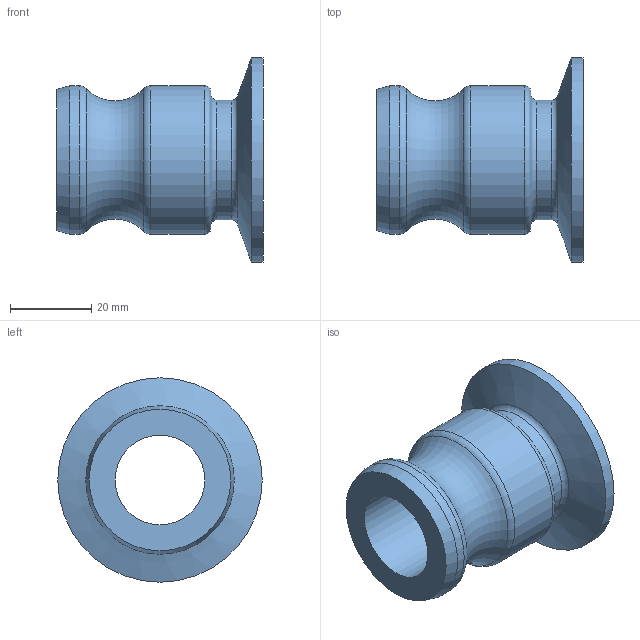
import cadquery as cq
import math

total_length = 50.8
bore_diameter = 22.1
body_radius = 36.6 / 2
neck_radius = 29.46 / 2
flange_radius = 50.39 / 2

lead_in_length = 3.175
lead_in_radius = 17.45

groove_center_x = 14.29
groove_bottom_radius = 14.55
groove_arc_radius = 9.9
groove_edge_round = 2.38

shoulder_x = 37.95
edge_round = 1.5875
neck_fillet = 1.5
flange_fillet = 1.5875
flange_rim_thickness = 2.87
flange_cone_angle = math.radians(20)
rim_start_x = total_length - flange_rim_thickness
flange_back_x = rim_start_x - (flange_radius - neck_radius) * math.tan(flange_cone_angle)


def polar(center, radius, angle):
    """Point on a circle in the XY half-plane, where Y is the distance from the axis."""
    return (center[0] + radius * math.cos(angle), center[1] + radius * math.sin(angle))


def arc_to(profile, center, radius, start, end):
    """Extend the profile along a circular arc, from its start angle to its end angle."""
    middle = polar(center, radius, (start + end) / 2)
    return profile.threePointArc(middle, polar(center, radius, end))


def add_cam_groove(profile):
    """Add the groove and the tangent rounds that join it to the body surface."""
    groove_center = (groove_center_x, groove_bottom_radius + groove_arc_radius)
    round_center_y = body_radius - groove_edge_round
    rise = groove_center[1] - round_center_y
    half_span = math.sqrt((groove_arc_radius + groove_edge_round) ** 2 - rise ** 2)
    left_center = (groove_center_x - half_span, round_center_y)
    right_center = (groove_center_x + half_span, round_center_y)
    tilt = math.atan2(rise, half_span)

    profile = profile.lineTo(left_center[0], body_radius)
    profile = arc_to(profile, left_center, groove_edge_round, math.pi / 2, tilt)
    profile = arc_to(profile, groove_center, groove_arc_radius, math.pi + tilt, 2 * math.pi - tilt)
    return arc_to(profile, right_center, groove_edge_round, math.pi - tilt, math.pi / 2)


def add_shoulder(profile):
    """Add the rounded shoulder and the fillet leading down to the neck."""
    round_center = (shoulder_x - edge_round, body_radius - edge_round)
    fillet_center = (shoulder_x + neck_fillet, neck_radius + neck_fillet)
    profile = profile.lineTo(round_center[0], body_radius)
    profile = arc_to(profile, round_center, edge_round, math.pi / 2, 0)
    profile = profile.lineTo(shoulder_x, fillet_center[1])
    return arc_to(profile, fillet_center, neck_fillet, math.pi, 1.5 * math.pi)


def add_flange(profile):
    """Add the neck, the conical flange back with its root fillet, and the rim."""
    sweep = math.pi / 2 - flange_cone_angle
    tangent_length = flange_fillet * math.tan(sweep / 2)
    fillet_center = (flange_back_x - tangent_length, neck_radius + flange_fillet)
    profile = profile.lineTo(fillet_center[0], neck_radius)
    profile = arc_to(profile, fillet_center, flange_fillet, -math.pi / 2, -math.pi / 2 + sweep)
    profile = profile.lineTo(rim_start_x, flange_radius)
    return profile.lineTo(total_length, flange_radius)


def make_body():
    """Revolve the outer profile about the X axis."""
    profile = cq.Workplane("XY").moveTo(0, 0).lineTo(0, lead_in_radius)
    profile = profile.lineTo(lead_in_length, body_radius)
    profile = add_cam_groove(profile)
    profile = add_shoulder(profile)
    profile = add_flange(profile)
    profile = profile.lineTo(total_length, 0).close()
    return profile.revolve(360, (0, 0, 0), (1, 0, 0))


def make_bore():
    """Straight through bore along the X axis."""
    return cq.Workplane("YZ").circle(bore_diameter / 2).extrude(total_length)


result = make_body().cut(make_bore())